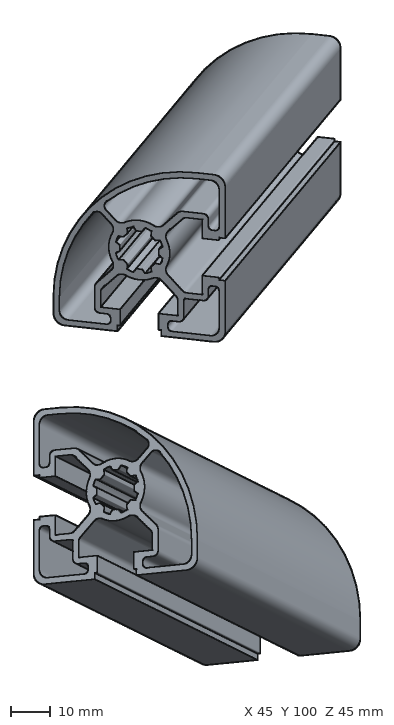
import cadquery as cq
import math

length = 100.0
width = 45.0
half = width / 2
wall = 1.6
arc_radius = 37.5
corner_radius = 3.0
inner_corner_radius = 2.3

hub_radius = 8.0
bore_radius = 6.3
tooth_tip_radius = 5.1
tooth_count = 8
tooth_base_half = 1.7
tooth_tip_half = 0.8

mouth_half = 5.7
lip_half = 5.0
lip_depth = 6.0
chamber_half = 10.1
slot_rib_half = 1.2

lip_wall = 2.5
pocket_rib_half = 0.8
arc_rib_half = 0.8

hub_fillet = 2.0
arc_rib_fillet = 1.5
notch_fillet = 1.1
lip_bend_fillet = 1.4
rib_bend_fillet = 2.0
rib_corner_fillet = 0.5
chamber_fillet = 1.5
lip_edge_fillet = 0.3
tooth_tip_fillet = 0.2

wall_inside = half - wall
lip_inside = half - lip_depth
pocket_inner = chamber_half + wall
pocket_outer = lip_inside + wall
pocket_end = lip_half + lip_wall
mirror_normal = (1, 0, 1)


def prism(sketch):
    """Extrude a closed section over the full length."""
    return sketch.extrude(length / 2, both=True)


def section(points):
    return cq.Workplane("XZ").polyline(points).close()


def round_corners(body, corners, radius):
    """Round the lengthwise edges nearest to the given (x, z) corners."""
    for x, z in corners:
        body = body.edges("|Y").edges(cq.selectors.NearestToPointSelector((x, 0, z))).fillet(radius)
    return body


def quarter_round(inset):
    """Square section whose upper left corner is a large arc, moved inwards by inset."""
    side = half - inset
    arc_centre = half - arc_radius
    diagonal = (arc_radius - inset) * math.sqrt(0.5)
    return prism(
        cq.Workplane("XZ")
        .moveTo(-side, -side)
        .lineTo(-side, arc_centre)
        .threePointArc((-arc_centre - diagonal, arc_centre + diagonal), (-arc_centre, side))
        .lineTo(side, side)
        .lineTo(side, -side)
        .close()
    )


def hub_crossing(offset):
    """Long and short distance from the hub axes where a line z = x + offset leaves the hub."""
    short = (math.sqrt(2 * hub_radius**2 - offset**2) - offset) / 2
    return short, short + offset


def both_sides(point):
    """A point and its mirror image across the Z axis."""
    x, z = point
    return [(x, z), (-x, z)]


def lower_slot(hub):
    """T-slot opening downwards, its diagonal flanks ending on the hub."""
    flank = slot_rib_half * math.sqrt(2)
    chamber_bend = (chamber_half, -chamber_half - flank)
    lip_edge = (lip_half, -wall_inside)
    right_side = [
        (0, -flank),
        chamber_bend,
        (chamber_half, -lip_inside),
        (lip_half, -lip_inside),
        lip_edge,
        (mouth_half, -wall_inside),
        (mouth_half, -half),
    ]
    left_side = [(-x, z) for x, z in reversed(right_side[1:])]
    slot = prism(section(right_side + left_side)).cut(hub)
    x, z = hub_crossing(flank)
    slot = round_corners(slot, both_sides((x, -z)), hub_fillet)
    slot = round_corners(slot, both_sides(chamber_bend), chamber_fillet)
    return round_corners(slot, both_sides(lip_edge), lip_edge_fillet)


def upper_pocket(hub, cavity):
    """Hollow between the curved wall, the hub and the right-hand slot."""
    slot_rib = pocket_rib_half * math.sqrt(2)
    arc_rib = arc_rib_half * math.sqrt(2)
    apex_x = (arc_rib - slot_rib) / 2
    bend = (pocket_inner - slot_rib, pocket_inner)
    lip_bend = (pocket_outer, pocket_inner)
    notch = [(pocket_outer, pocket_end), (wall_inside, pocket_end)]
    outline = [
        (apex_x, apex_x + slot_rib),
        bend,
        lip_bend,
        *notch,
        (half, pocket_end),
        (half, half),
        (arc_rib - half, half),
    ]
    pocket = prism(section(outline)).intersect(cavity).cut(hub)
    arc_corner = (arc_radius - wall - (arc_radius - half) * math.sqrt(2)) * math.sqrt(0.5)
    slot_hub_x, slot_hub_z = hub_crossing(slot_rib)
    arc_hub_x, arc_hub_z = hub_crossing(arc_rib)
    pocket = round_corners(pocket, [(slot_hub_x, slot_hub_z), (-arc_hub_x, arc_hub_z)], hub_fillet)
    pocket = round_corners(pocket, [(-arc_corner, arc_corner)], arc_rib_fillet)
    pocket = round_corners(pocket, [(wall_inside, wall_inside)], inner_corner_radius)
    pocket = round_corners(pocket, [bend], rib_bend_fillet)
    pocket = round_corners(pocket, [lip_bend], lip_bend_fillet)
    return round_corners(pocket, notch, notch_fillet)


def corner_pocket():
    """Hollow in the lower right corner, between the two slots."""
    right_notch = [(wall_inside, -pocket_end), (pocket_outer, -pocket_end)]
    lower_notch = [(-z, -x) for x, z in reversed(right_notch)]
    right_bend = (pocket_outer, -pocket_inner)
    lower_bend = (pocket_inner, -pocket_outer)
    rib_corner = (pocket_inner, -pocket_inner)
    outer_corner = (wall_inside, -wall_inside)
    pocket = prism(section([*right_notch, right_bend, rib_corner, lower_bend, *lower_notch, outer_corner]))
    pocket = round_corners(pocket, right_notch + lower_notch, notch_fillet)
    pocket = round_corners(pocket, [right_bend, lower_bend], lip_bend_fillet)
    pocket = round_corners(pocket, [outer_corner], inner_corner_radius)
    return round_corners(pocket, [rib_corner], rib_corner_fillet)


def toothed_bore():
    """Bore void with teeth of the hub reaching in, one at every equal step around."""
    bore = prism(cq.Workplane("XZ").circle(bore_radius))
    tooth = prism(
        section(
            [
                (-tooth_base_half, bore_radius),
                (-tooth_tip_half, tooth_tip_radius),
                (tooth_tip_half, tooth_tip_radius),
                (tooth_base_half, bore_radius),
            ]
        )
    )
    tooth = round_corners(tooth, both_sides((tooth_tip_half, tooth_tip_radius)), tooth_tip_fillet)
    for step in range(tooth_count):
        bore = bore.cut(tooth.rotate((0, 0, 0), (0, 1, 0), step * 360 / tooth_count))
    return bore


hub = prism(cq.Workplane("XZ").circle(hub_radius))
body = round_corners(quarter_round(0), [(half, half), (half, -half), (-half, -half)], corner_radius)
slot = lower_slot(hub)
pocket = upper_pocket(hub, quarter_round(wall))
for void in (slot, pocket):
    body = body.cut(void).cut(void.mirror(mirror_normal))
result = body.cut(corner_pocket()).cut(toothed_bore())